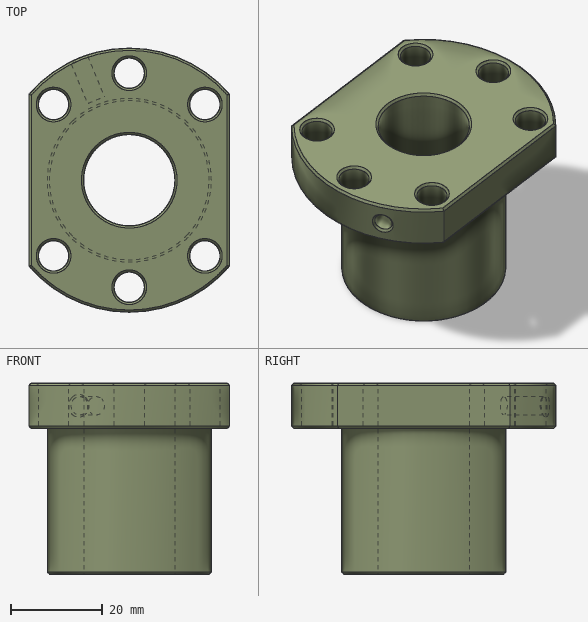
import cadquery as cq
import math

flange_diameter = 58.0
flange_width = 44.0
flange_thickness = 10.0

total_height = 42.0
body_diameter = 36.0
bore_diameter = 20.0

bolt_circle_diameter = 47.0
bolt_hole_diameter = 6.6
bolt_hole_angles = [45, 90, 135, 225, 270, 315]

oil_hole_diameter = 4.0
oil_hole_mouth_diameter = 5.0
oil_hole_angle = (bolt_hole_angles[1] + bolt_hole_angles[2]) / 2
oil_hole_depth = 10.0

chamfer_size = 0.5


def make_flange():
    disc = cq.Workplane("XY").circle(flange_diameter / 2).extrude(-flange_thickness)
    flats = cq.Workplane("XY").rect(flange_width, flange_diameter).extrude(-flange_thickness)
    return disc.intersect(flats).faces("|Z").chamfer(chamfer_size)


def make_body():
    body = cq.Workplane("XY").circle(body_diameter / 2).extrude(-total_height)
    return body.faces("<Z").chamfer(chamfer_size)


def make_through_hole(diameter, length):
    """Vertical hole from Z = 0 downwards, chamfered at its upper mouth."""
    hole_radius = diameter / 2
    mouth_radius = hole_radius + chamfer_size
    profile = [
        (0, 0),
        (mouth_radius, 0),
        (hole_radius, -chamfer_size),
        (hole_radius, -length),
        (0, -length),
    ]
    return cq.Workplane("XZ").polyline(profile).close().revolve(360, (0, 0), (0, 1))


def make_oil_hole():
    """Blind hole running from the rim towards the axis, with a conical mouth."""
    rim_radius = flange_diameter / 2
    hole_radius = oil_hole_diameter / 2
    mouth_radius = oil_hole_mouth_diameter / 2
    profile = [
        (rim_radius - oil_hole_depth, 0),
        (rim_radius - oil_hole_depth, hole_radius),
        (rim_radius - chamfer_size, hole_radius),
        (rim_radius, mouth_radius),
        (rim_radius, 0),
    ]
    hole = cq.Workplane("XY").polyline(profile).close().revolve(360, (0, 0), (1, 0))
    turned = hole.rotate((0, 0, 0), (0, 0, 1), oil_hole_angle)
    return turned.translate((0, 0, -flange_thickness / 2))


result = make_flange().union(make_body())
result = result.cut(make_through_hole(bore_diameter, total_height))

bolt_hole = make_through_hole(bolt_hole_diameter, flange_thickness)
for angle_degrees in bolt_hole_angles:
    angle = math.radians(angle_degrees)
    hole_x = bolt_circle_diameter / 2 * math.cos(angle)
    hole_y = bolt_circle_diameter / 2 * math.sin(angle)
    result = result.cut(bolt_hole.translate((hole_x, hole_y, 0)))

result = result.cut(make_oil_hole())